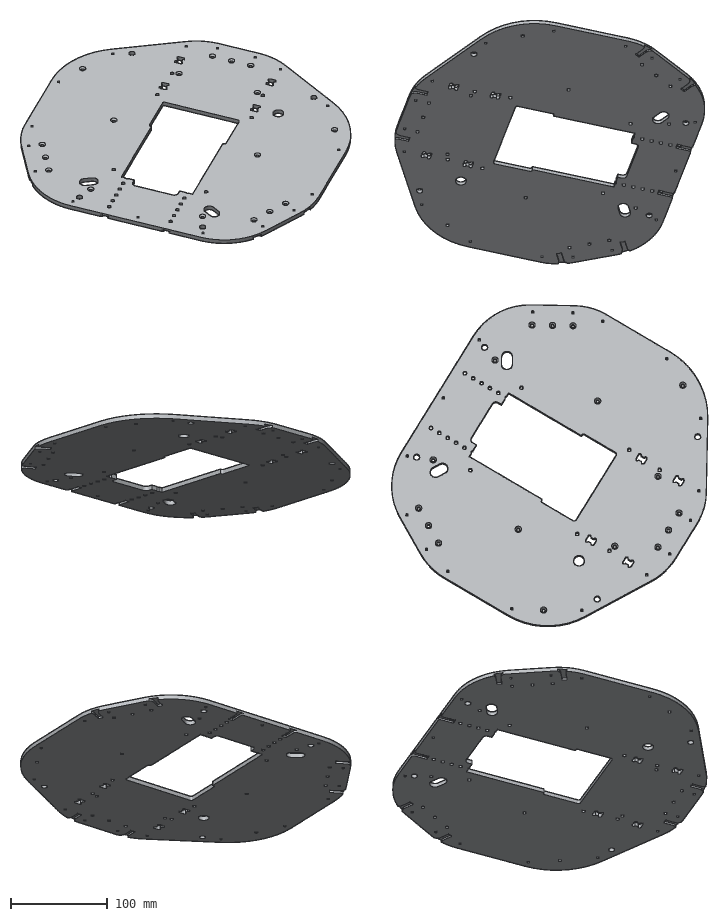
import cadquery as cq
import math

THICKNESS = 5.0
HALF_WIDTH = 162.8
HALF_LENGTH = 150.5

HUB_Y = -14.3
MOUNT_EDGE_RADIUS = HALF_LENGTH - HUB_Y
MOUNT_ANGLES = (90, 210, 330)
REAR_ANGLE = 270
SHOULDER_ANGLE = 60
SHOULDER_RADIUS = 162.5

MOUNT_CORNER_RADIUS = 65.0
SHOULDER_CORNER_RADIUS = 79.8
REAR_CORNER_RADIUS = 68.5

OPENING_TOP = 41.5
OPENING_STEP = 0.0
OPENING_BOTTOM = -88.0
OPENING_TOE = -96.5
OPENING_UPPER_HALF = 42.3
OPENING_LOWER_HALF = 39.5
OPENING_TOE_HALF = 25.0
OPENING_CORNER_RADIUS = 2.0
TOE_CORNER_RADIUS = 4.2

RIM_HOLE_DIAMETER = 2.45
SCREW_HOLE_DIAMETER = 3.5
POST_HOLE_DIAMETER = 6.2
CABLE_DIAMETER = 11.0
CABLE_HOLE = (75.5, 66.5)
COUNTERSINK_DIAMETER = 6.5
COUNTERSINK_BORE = 3.3
COUNTERSINK_ANGLE = 90

MOUNT_SCREW_RADIUS = 143.2
MOUNT_SCREW_PITCH = 21.0
MOUNT_PIN_RADIUS = 157.2
MOUNT_PIN_OFFSET = 20.8

RIM_HOLES = [(52.0, 134.0), (118.8, 96.0), (155.0, 33.2), (155.0, -44.0), (72.0, -143.0)]
REAR_RIM_HOLE = (0, -143.0)
SCREW_HOLES = [(50.0, 88.0), (52.0, 50.0), (51.0, -79.5)]
POST_HOLES = [(100.5, 103.5), (68.0, -134.0)]
COUNTERSUNK_HOLES = [(43.3, 90.2), (139.5, 62.2), (79.5, -4.5), (62.0, -118.0)]

COLUMN_X = 34.0
COLUMN_COUNT = 6
COLUMN_PITCH = 10.0
COLUMN_REAR_Y = -137.5

SLOT_CENTRE = (68.0, -107.0)
SLOT_WIDTH = CABLE_DIAMETER
SLOT_TRAVEL = 8.0
SLOT_LENGTH = SLOT_WIDTH + SLOT_TRAVEL
SLOT_TILT = -30

TAB_SLOT_X = 50.5
TAB_SLOT_YS = (110.7, 65.8)
TAB_SLOT_WIDTH = 5.2
TAB_SLOT_LENGTH = 9.8
TAB_RELIEF_DIAMETER = 3.1

CHANNEL_OFFSET = COLUMN_X
CHANNEL_WIDTH = 5.2
CHANNEL_HEIGHT = 2.3
CHANNEL_DEPTH = 16.3
CHANNEL_OVERRUN = 6.5
REAR_MOUTH_RADIUS = 2.0
REAR_MOUTH_FLARE = REAR_MOUTH_RADIUS
MOUNT_MOUTH_RADIUS = 8.0
MOUNT_MOUTH_FLARE = 3.3


def both_sides(points):
    """The given points together with their mirror images across X = 0."""
    return [(side * x, y) for x, y in points for side in (1, -1)]


def from_hub(angle, radius, offset=0.0):
    """Point at a distance out from the hub along an angle, shifted sideways by offset."""
    a = math.radians(angle)
    x = radius * math.cos(a) - offset * math.sin(a)
    y = radius * math.sin(a) + offset * math.cos(a)
    return (x, HUB_Y + y)


def toward(start, end, distance):
    """Point at a distance from start on the way to end."""
    t = distance / math.dist(start, end)
    return (start[0] + t * (end[0] - start[0]), start[1] + t * (end[1] - start[1]))


def rounded_polygon(corners):
    """Closed outline through (point, radius) corners, listed clockwise and all convex."""
    arcs = []
    for i, (point, radius) in enumerate(corners):
        before = corners[i - 1][0]
        after = corners[(i + 1) % len(corners)][0]
        heading_in = math.atan2(point[1] - before[1], point[0] - before[0])
        heading_out = math.atan2(after[1] - point[1], after[0] - point[0])
        turn = (heading_in - heading_out) % (2 * math.pi)
        setback = radius * math.tan(turn / 2)
        arcs.append((toward(point, before, setback), toward(point, after, setback), radius))
    outline = cq.Workplane("XY").moveTo(*arcs[0][0])
    for i, (start, end, radius) in enumerate(arcs):
        if i > 0:
            outline = outline.lineTo(*start)
        outline = outline.radiusArc(end, radius)
    return outline.close()


def plate():
    shoulder = math.radians(SHOULDER_ANGLE)
    mount = math.radians(MOUNT_ANGLES[2])
    rear_reach = -HALF_LENGTH - HUB_Y
    top_x = (SHOULDER_RADIUS - MOUNT_EDGE_RADIUS * math.sin(shoulder)) / math.cos(shoulder)
    shoulder_y = HUB_Y + (SHOULDER_RADIUS - HALF_WIDTH * math.cos(shoulder)) / math.sin(shoulder)
    side_y = HUB_Y + (MOUNT_EDGE_RADIUS - HALF_WIDTH * math.cos(mount)) / math.sin(mount)
    rear_x = (MOUNT_EDGE_RADIUS - rear_reach * math.sin(mount)) / math.cos(mount)
    right = [
        ((top_x, HALF_LENGTH), MOUNT_CORNER_RADIUS),
        ((HALF_WIDTH, shoulder_y), SHOULDER_CORNER_RADIUS),
        ((HALF_WIDTH, side_y), MOUNT_CORNER_RADIUS),
        ((rear_x, -HALF_LENGTH), REAR_CORNER_RADIUS),
    ]
    left = [((-x, y), radius) for (x, y), radius in reversed(right)]
    return rounded_polygon(right + left).extrude(THICKNESS)


def block(half_width, bottom, top):
    """Full-thickness block centred on X = 0 between two Y positions."""
    middle = (bottom + top) / 2
    return cq.Workplane("XY").center(0, middle).rect(2 * half_width, top - bottom).extrude(THICKNESS)


def opening():
    upper = block(OPENING_UPPER_HALF, OPENING_STEP, OPENING_TOP).edges("|Z").fillet(OPENING_CORNER_RADIUS)
    lower = block(OPENING_LOWER_HALF, OPENING_BOTTOM, OPENING_STEP + OPENING_CORNER_RADIUS)
    toe = block(OPENING_TOE_HALF, OPENING_TOE, OPENING_STEP).edges("|Z and <Y").fillet(TOE_CORNER_RADIUS)
    return upper.union(lower).union(toe)


def drill(points, diameter):
    return cq.Workplane("XY").pushPoints(points).circle(diameter / 2).extrude(THICKNESS)


def countersinks(points):
    """Through holes that widen in a cone up to the top face."""
    rim = COUNTERSINK_DIAMETER / 2
    bore = COUNTERSINK_BORE / 2
    depth = (rim - bore) / math.tan(math.radians(COUNTERSINK_ANGLE / 2))
    profile = [
        (0, 0),
        (bore, 0),
        (bore, THICKNESS - depth),
        (rim, THICKNESS),
        (0, THICKNESS),
    ]
    cutter = cq.Workplane("XZ").polyline(profile).close().revolve(360, (0, 0), (0, 1)).val()
    return cq.Workplane("XY").pushPoints(points).eachpoint(lambda place: cutter.moved(place))


def slanted_slot(side):
    x, y = SLOT_CENTRE
    slot = cq.Workplane("XY").center(side * x, y)
    return slot.slot2D(SLOT_LENGTH, SLOT_WIDTH, side * SLOT_TILT).extrude(THICKNESS)


def tab_slots():
    centres = both_sides([(TAB_SLOT_X, y) for y in TAB_SLOT_YS])
    relief_x = TAB_SLOT_WIDTH / 2
    relief_y = (TAB_SLOT_LENGTH - TAB_RELIEF_DIAMETER) / 2
    reliefs = [
        (x + dx, y + dy)
        for x, y in centres
        for dx in (-relief_x, relief_x)
        for dy in (-relief_y, relief_y)
    ]
    slots = cq.Workplane("XY").pushPoints(centres).rect(TAB_SLOT_WIDTH, TAB_SLOT_LENGTH).extrude(THICKNESS)
    return slots.union(drill(reliefs, TAB_RELIEF_DIAMETER))


def channel(angle, edge_radius, offset, mouth_radius, flare):
    """Underside channel, open outward, in the edge that faces the angle."""
    half_width = CHANNEL_WIDTH / 2
    half_mouth = half_width + flare
    back = edge_radius - CHANNEL_DEPTH
    outer = edge_radius + CHANNEL_OVERRUN
    flare_start = edge_radius - math.sqrt(mouth_radius**2 - (mouth_radius - flare) ** 2)
    cutter = (
        cq.Workplane("XY")
        .moveTo(back, -half_width)
        .lineTo(flare_start, -half_width)
        .radiusArc((edge_radius, -half_mouth), mouth_radius)
        .lineTo(outer, -half_mouth)
        .lineTo(outer, half_mouth)
        .lineTo(edge_radius, half_mouth)
        .radiusArc((flare_start, half_width), mouth_radius)
        .lineTo(back, half_width)
        .close()
        .extrude(CHANNEL_HEIGHT)
    )
    return cutter.translate((0, offset, 0)).rotate((0, 0, 0), (0, 0, 1), angle).translate((0, HUB_Y, 0))


mount_screws = [
    from_hub(angle, MOUNT_SCREW_RADIUS, step * MOUNT_SCREW_PITCH)
    for angle in MOUNT_ANGLES
    for step in (-1, 0, 1)
]
mount_pins = [
    from_hub(angle, MOUNT_PIN_RADIUS, side * MOUNT_PIN_OFFSET)
    for angle in MOUNT_ANGLES
    for side in (-1, 1)
]
column = [(COLUMN_X, COLUMN_REAR_Y + i * COLUMN_PITCH) for i in range(COLUMN_COUNT)]

result = plate().cut(opening())
result = result.cut(drill(both_sides(RIM_HOLES) + mount_pins + [REAR_RIM_HOLE], RIM_HOLE_DIAMETER))
result = result.cut(drill(both_sides(SCREW_HOLES + column), SCREW_HOLE_DIAMETER))
result = result.cut(drill(both_sides(POST_HOLES), POST_HOLE_DIAMETER))
result = result.cut(drill([CABLE_HOLE], CABLE_DIAMETER))
result = result.cut(countersinks(both_sides(COUNTERSUNK_HOLES) + mount_screws))
result = result.cut(slanted_slot(1)).cut(slanted_slot(-1))
result = result.cut(tab_slots())

channel_edges = [
    (angle, MOUNT_EDGE_RADIUS, MOUNT_MOUTH_RADIUS, MOUNT_MOUTH_FLARE) for angle in MOUNT_ANGLES
]
channel_edges.append((REAR_ANGLE, HALF_LENGTH + HUB_Y, REAR_MOUTH_RADIUS, REAR_MOUTH_FLARE))
for angle, edge_radius, mouth_radius, flare in channel_edges:
    for offset in (CHANNEL_OFFSET, -CHANNEL_OFFSET):
        result = result.cut(channel(angle, edge_radius, offset, mouth_radius, flare))